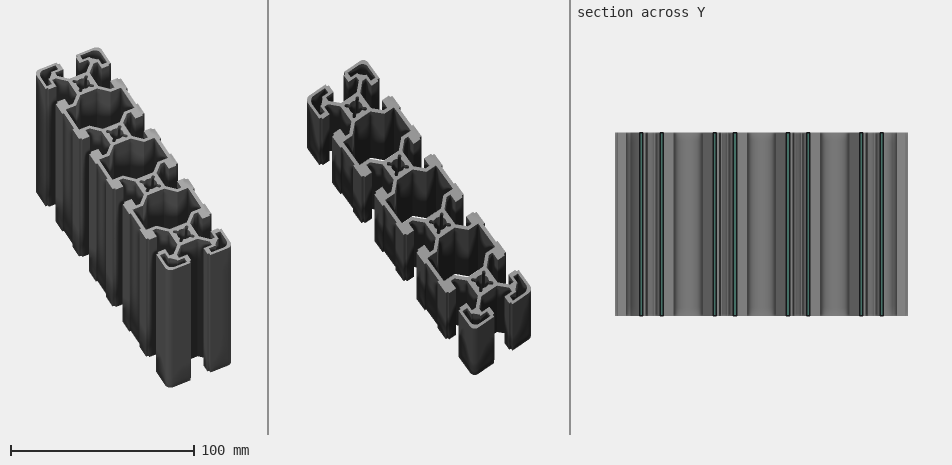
import cadquery as cq
import math

cell = 40.0
cell_count = 4
length = 100.0
corner_radius = 3.2
width = cell * cell_count
half_cell = cell / 2

mouth_half_width = 5.0
mouth_step_half_width = 6.0
mouth_step_depth = 1.5
step_root_radius = 0.5
lip_thickness = 6.0
lip_underside = half_cell - lip_thickness
slot_half_width = 10.0
core_half_width = 6.5
arm_offset = 1.36

chamber_half_width = 8.0
chamber_half_height = 17.0
groove_half_width = 6.0
groove_depth = 1.0

hollow_outer_wall = 1.52
hollow_inner_wall = 1.5
hollow_end_wall = 2.5
hollow_outer = half_cell - hollow_outer_wall
hollow_inner = lip_underside + hollow_inner_wall
hollow_end = mouth_half_width + hollow_end_wall
hollow_notch = 11.8
hollow_notch_end = 14.5
hollow_radius = 3.5

bore_radius = 3.7
lobe_width = 2.0
lobe_reach = 4.6

cell_centres = [(i - (cell_count - 1) / 2) * cell for i in range(cell_count)]
cell_joints = [(i - cell_count / 2) * cell for i in range(1, cell_count)]


def prism(points):
    """Extrude a closed outline through the full length."""
    return cq.Workplane("XY").polyline(points).close().extrude(length)


def mirrored_in_x(points):
    """Complete a right-hand half outline with its mirror image."""
    return points + [(-x, y) for x, y in reversed(points)]


def t_slot():
    """T-slot opening toward +Y, with the cell centre at the origin."""
    step_level = half_cell - mouth_step_depth
    slot = prism(mirrored_in_x([
        (mouth_step_half_width, half_cell),
        (mouth_step_half_width, step_level),
        (mouth_half_width, step_level),
        (mouth_half_width, lip_underside),
        (slot_half_width, lip_underside),
        (slot_half_width, slot_half_width + arm_offset),
        (core_half_width - arm_offset, core_half_width),
    ]))
    root_zone = cq.selectors.BoxSelector(
        (-half_cell, step_level - step_root_radius, 0),
        (half_cell, step_level + step_root_radius, length),
    )
    return slot.edges("|Z").edges(root_zone).edges(">X or <X").fillet(step_root_radius)


def chamber():
    """Twelve-sided chamber centred on the joint between two cells."""
    wall_from_core = half_cell - chamber_half_width
    right_half = [
        (chamber_half_width, chamber_half_height),
        (chamber_half_width, wall_from_core - arm_offset),
        (half_cell - core_half_width, core_half_width - arm_offset),
    ]
    right_half += [(x, -y) for x, y in reversed(right_half)]
    return prism(mirrored_in_x(right_half))


def joint_grooves():
    """Shallow grooves in both broad faces over a joint."""
    return (
        cq.Workplane("XY")
        .pushPoints([(0, half_cell), (0, -half_cell)])
        .rect(2 * groove_half_width, 2 * groove_depth)
        .extrude(length)
    )


def corner_hollow():
    """L-shaped hollow in the +X +Y corner of a cell."""
    blank = prism([
        (hollow_outer, hollow_outer),
        (hollow_outer, hollow_end),
        (hollow_inner, hollow_end),
        (hollow_inner, hollow_notch),
        (hollow_notch_end, hollow_notch),
        (hollow_notch, hollow_notch_end),
        (hollow_notch, hollow_inner),
        (hollow_end, hollow_inner),
        (hollow_end, hollow_outer),
    ])
    return blank.edges("|Z").edges(">(1, 1, 0)").fillet(hollow_radius)


def core_bore():
    """Round bore crossed by two round-ended diagonal slots."""
    lobe_radius = lobe_width / 2
    lobe_length = 2 * (math.sqrt(2) * (lobe_reach - lobe_radius) + lobe_radius)
    lobes = cq.Workplane("XY").slot2D(lobe_length, lobe_width).extrude(length)
    bore = cq.Workplane("XY").circle(bore_radius).extrude(length)
    for angle in (45, 135):
        bore = bore.union(lobes.rotate((0, 0, 0), (0, 0, 1), angle))
    return bore


result = cq.Workplane("XY").rect(width, cell).extrude(length)
result = result.edges("|Z").fillet(corner_radius)

for x in cell_centres:
    for angle in (0, 180):
        result = result.cut(t_slot().rotate((0, 0, 0), (0, 0, 1), angle).translate((x, 0, 0)))
    result = result.cut(core_bore().translate((x, 0, 0)))

for x in cell_joints:
    result = result.cut(chamber().translate((x, 0, 0)))
    result = result.cut(joint_grooves().translate((x, 0, 0)))

end_cutter = t_slot().rotate((0, 0, 0), (0, 0, 1), -90)
end_cutter = end_cutter.union(corner_hollow()).union(corner_hollow().mirror("XZ"))
end_cutter = end_cutter.translate((cell_centres[-1], 0, 0))
result = result.cut(end_cutter).cut(end_cutter.mirror("YZ"))